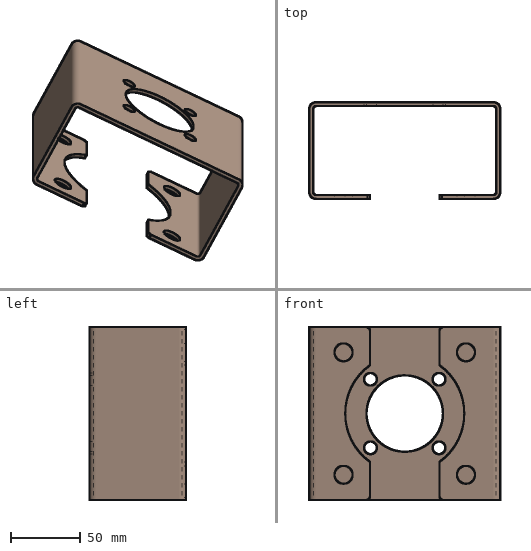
import cadquery as cq
import math

width = 138.0
depth = 70.0
height = 125.0

thickness = 3.0
inner_bend_radius = 2.0
outer_bend_radius = inner_bend_radius + thickness

flange_gap = 50.0
flange_corner = 2.0
flange_relief_diameter = 86.0

bore_diameter = 55.0
back_hole_diameter = 9.0
back_bolt_circle = 70.0
flange_hole_diameter = 13.0
flange_bolt_circle = 125.0

front_face = -depth / 2
back_face = depth / 2


def bar_along_z(size_x, size_y, edge_radius):
    """Full-height block with rounded vertical edges."""
    return cq.Workplane("XY").box(size_x, size_y, height).edges("|Z").fillet(edge_radius)


def front_plane(y):
    """Work plane at the given Y, with X right, Z up and its normal along -Y."""
    return cq.Workplane("XZ", origin=(0, y, 0))


def through_sheet(profile):
    """Extrude a profile drawn on a sheet's -Y face through that sheet's thickness."""
    return profile.extrude(-thickness)


def square_pattern(bolt_circle):
    """Four hole centres on a bolt circle, at 45 degrees to the X and Z axes."""
    offset = bolt_circle / 2 * math.sqrt(0.5)
    return [(x, z) for x in (-offset, offset) for z in (-offset, offset)]


def folded_tube():
    """Closed rectangular tube with bent corners."""
    outside = bar_along_z(width, depth, outer_bend_radius)
    inside = bar_along_z(width - 2 * thickness, depth - 2 * thickness, inner_bend_radius)
    return outside.cut(inside)


def flange_opening():
    """Slot between the flanges, widened at both ends by the clipped corners and by a round relief."""
    half_gap = flange_gap / 2
    half_mouth = half_gap + flange_corner
    top = height / 2
    shoulder = top - flange_corner
    outline = [
        (half_mouth, top),
        (half_gap, shoulder),
        (half_gap, -shoulder),
        (half_mouth, -top),
        (-half_mouth, -top),
        (-half_gap, -shoulder),
        (-half_gap, shoulder),
        (-half_mouth, top),
    ]
    slot = through_sheet(front_plane(front_face).polyline(outline).close())
    relief = through_sheet(front_plane(front_face).circle(flange_relief_diameter / 2))
    return slot.union(relief)


def flange_holes():
    """Four mounting holes, two in each flange."""
    centres = square_pattern(flange_bolt_circle)
    return through_sheet(front_plane(front_face).pushPoints(centres).circle(flange_hole_diameter / 2))


def back_holes():
    """Central bore and its four bolt holes in the back wall."""
    inner_face = back_face - thickness
    bore = through_sheet(front_plane(inner_face).circle(bore_diameter / 2))
    centres = square_pattern(back_bolt_circle)
    bolts = through_sheet(front_plane(inner_face).pushPoints(centres).circle(back_hole_diameter / 2))
    return bore.union(bolts)


result = folded_tube().cut(flange_opening()).cut(flange_holes()).cut(back_holes())